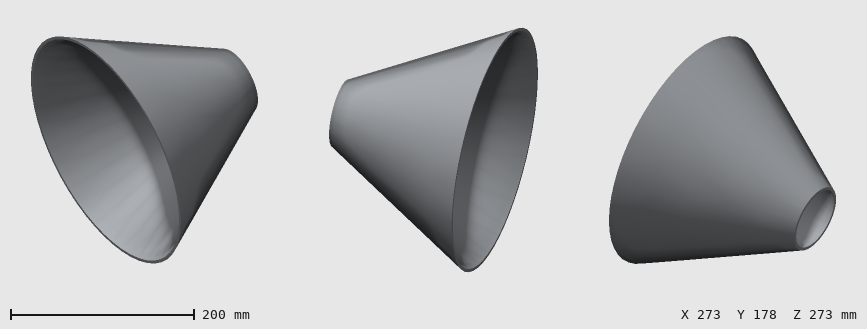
import cadquery as cq
import math

mouth_diameter = 273.0
neck_diameter = 76.0
length = 178.0
wall_thickness = 3.0

mouth_radius = mouth_diameter / 2
neck_radius = neck_diameter / 2
half_angle = math.atan((mouth_radius - neck_radius) / length)
radial_wall = wall_thickness / math.cos(half_angle)


def conical_shell():
    """Revolve the slanted wall section about the Y axis."""
    wall_section = cq.Workplane("XY").polyline([
        (mouth_radius - radial_wall, 0),
        (mouth_radius, 0),
        (neck_radius, length),
        (neck_radius - radial_wall, length),
    ]).close()
    return wall_section.revolve(360, (0, 0, 0), (0, 1, 0))


result = conical_shell()